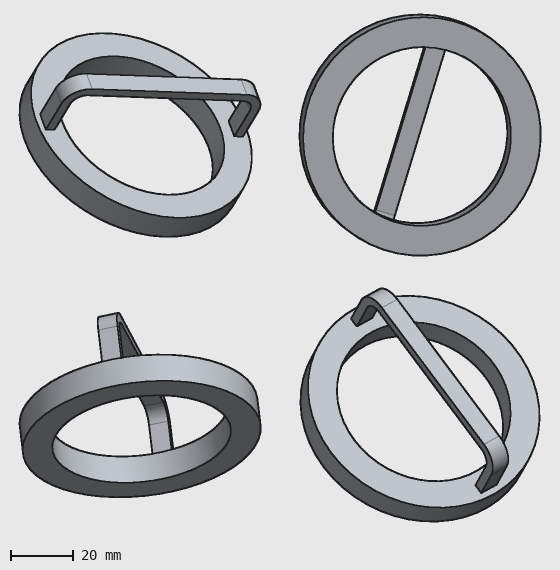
import cadquery as cq

ring_diameter = 76.2
hole_diameter = 57.1
ring_height = 9.6

handle_span = 71.5
handle_rise = 20.6
strip_thickness = 3.2
strip_width = 6.35
outer_bend_radius = 7.7
inner_bend_radius = outer_bend_radius - strip_thickness

tilt_angle = 23.8


def make_ring():
    """Flat ring whose top face lies at Z = 0."""
    return (
        cq.Workplane("XY")
        .circle(ring_diameter / 2)
        .circle(hole_diameter / 2)
        .extrude(-ring_height)
    )


def make_arch(span, rise, bend_radius):
    """Solid block across the ring with its two upper edges rounded."""
    return (
        cq.Workplane("XY")
        .box(strip_width, span, rise, centered=(True, True, False))
        .edges("|X and >Z")
        .fillet(bend_radius)
    )


def make_handle():
    """Bent strip of constant thickness with both feet on Z = 0."""
    outside = make_arch(handle_span, handle_rise, outer_bend_radius)
    inside = make_arch(
        handle_span - 2 * strip_thickness,
        handle_rise - strip_thickness,
        inner_bend_radius,
    )
    return outside.cut(inside)


upright_part = make_ring().union(make_handle())
result = upright_part.rotate((0, 0, 0), (1, 0, 0), -tilt_angle)